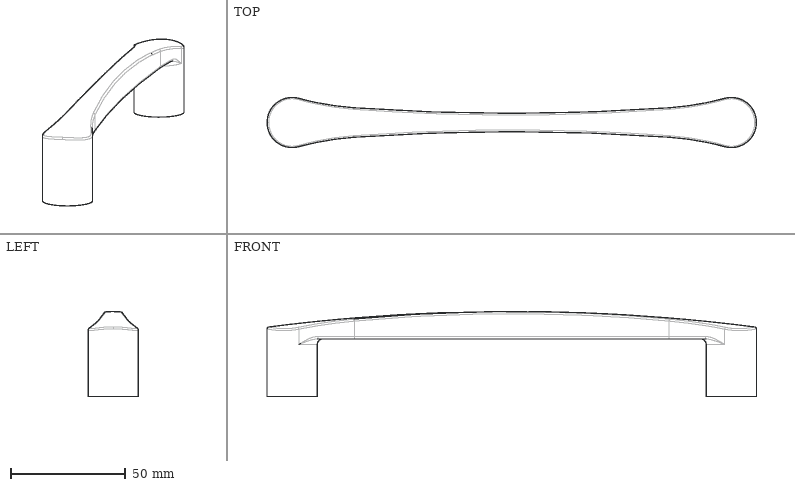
import cadquery as cq
import math

overall_length = 214.0
overall_height = 37.31
half_length = overall_length / 2

post_radius = 11.0
post_x = half_length - post_radius

waist_half_width = 4.05
waist_side_radius = 974.0
flare_start_x = 68.8
underside_z = 25.2

end_drop = 6.9
crown_radius = 30.0
arch_radius = (half_length**2 + end_drop**2) / (2 * end_drop)

top_edge_radius = 0.9
bottom_edge_radius = 1.1
junction_radius = 2.4
collar_bottom_z = underside_z - junction_radius

blank_height = overall_height + 1.0
crown_side_margin = 2.0
crown_end_margin = 10.0
level_tolerance = 0.1


def flare_points():
    """Start, middle and end of the arc that widens one side of the bar into the +X post."""
    waist_center_y = waist_half_width + waist_side_radius
    waist_angle = math.asin(flare_start_x / waist_side_radius)
    toward_center = (-math.sin(waist_angle), math.cos(waist_angle))
    start = (flare_start_x, waist_center_y - waist_side_radius * math.cos(waist_angle))

    offset = (start[0] - post_x, start[1])
    offset_squared = offset[0] ** 2 + offset[1] ** 2
    offset_along = offset[0] * toward_center[0] + offset[1] * toward_center[1]
    flare_radius = (offset_squared - post_radius**2) / (2 * (post_radius - offset_along))
    center_x = start[0] + flare_radius * toward_center[0]
    center_y = start[1] + flare_radius * toward_center[1]

    post_share = post_radius / (flare_radius + post_radius)
    end = (post_x + (center_x - post_x) * post_share, center_y * post_share)
    start_angle = math.atan2(start[1] - center_y, start[0] - center_x)
    end_angle = math.atan2(end[1] - center_y, end[0] - center_x)
    middle_angle = (start_angle + end_angle) / 2
    middle = (
        center_x + flare_radius * math.cos(middle_angle),
        center_y + flare_radius * math.sin(middle_angle),
    )
    return start, middle, end


def make_bar_blank(bottom_z):
    """Flat-topped bar with the waisted plan outline, ending square inside the posts."""
    (start_x, start_y), (middle_x, middle_y), (end_x, end_y) = flare_points()
    return (
        cq.Workplane("XY", origin=(0, 0, bottom_z))
        .moveTo(-start_x, start_y)
        .threePointArc((0, waist_half_width), (start_x, start_y))
        .threePointArc((middle_x, middle_y), (end_x, end_y))
        .lineTo(end_x, -end_y)
        .threePointArc((middle_x, -middle_y), (start_x, -start_y))
        .threePointArc((0, -waist_half_width), (-start_x, -start_y))
        .threePointArc((-middle_x, -middle_y), (-end_x, -end_y))
        .lineTo(-end_x, end_y)
        .threePointArc((-middle_x, middle_y), (-start_x, start_y))
        .close()
        .extrude(blank_height - bottom_z)
    )


def make_posts():
    """Two posts, the second one the first given half a turn about the middle of the handle."""
    post = cq.Workplane("XY").center(post_x, 0).circle(post_radius).extrude(blank_height)
    return post.union(post.rotate((0, 0, 0), (0, 0, 1), 180))


def make_collars():
    """Hollow-curved collars that lead each post into the underside, no wider than the bar."""
    collar_radius = post_radius + junction_radius
    mid_inset = junction_radius * (1 - math.sqrt(0.5))
    collar = (
        cq.Workplane("XZ")
        .moveTo(0, collar_bottom_z)
        .lineTo(post_radius, collar_bottom_z)
        .threePointArc((post_radius + mid_inset, underside_z - mid_inset), (collar_radius, underside_z))
        .lineTo(0, underside_z)
        .close()
        .revolve(360, (0, 0), (0, 1))
    )
    collars = collar.translate((-post_x, 0, 0)).union(collar.translate((post_x, 0, 0)))
    return collars.intersect(make_bar_blank(collar_bottom_z))


def round_underside(body):
    """Round the lower edges along both sides of the bar, from post to post."""
    near_side = cq.selectors.BoxSelector(
        (-post_x, -post_radius, underside_z - level_tolerance),
        (post_x, -waist_half_width, underside_z + level_tolerance),
    )
    far_side = cq.selectors.BoxSelector(
        (-post_x, waist_half_width, underside_z - level_tolerance),
        (post_x, post_radius, underside_z + level_tolerance),
    )
    return body.edges(near_side + far_side).fillet(bottom_edge_radius)


def make_crown():
    """Solid below the crowned top, made by turning its cross-section about the arch centre."""
    half_width = post_radius + crown_side_margin
    arch_center_z = overall_height - arch_radius
    edge_z = overall_height - crown_radius + math.sqrt(crown_radius**2 - half_width**2)
    half_turn = math.degrees(math.asin((half_length + crown_end_margin) / arch_radius))
    section = (
        cq.Workplane("YZ")
        .moveTo(-half_width, -crown_side_margin)
        .lineTo(-half_width, edge_z)
        .threePointArc((0, overall_height), (half_width, edge_z))
        .lineTo(half_width, -crown_side_margin)
        .close()
    )
    swept = section.revolve(2 * half_turn, (0, arch_center_z), (1, arch_center_z))
    return swept.rotate((0, 0, arch_center_z), (0, 1, arch_center_z), -half_turn)


body = make_bar_blank(underside_z).union(make_posts()).union(make_collars())
body = round_underside(body)
crowned = body.intersect(make_crown())
result = crowned.faces(">Z").edges().fillet(top_edge_radius)